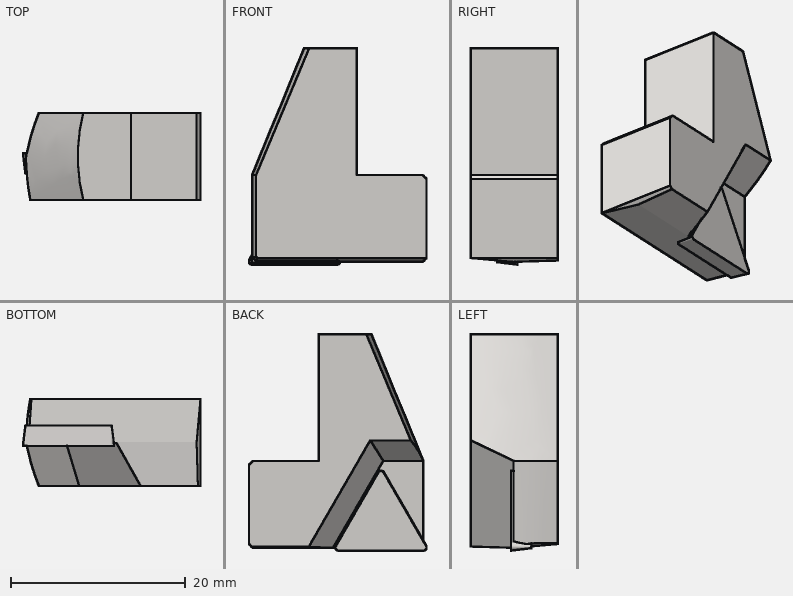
import cadquery as cq
import math

right_x = 20.35
depth = 10.0
height = 24.8
mid_y = depth / 2

shoulder_z = 10.3
lower_crest_x = 0.37
lower_side_x = 0.85
upper_crest_x = 6.3
upper_side_x = 6.92
step_x = 12.38
foot_chamfer = 0.47

front_bottom_z = 0.77
ridge_bottom_z = 0.32
back_bottom_z = 0.47

pocket_floor_y = 5.05
pocket_back_z = 12.65
wall_bottom_x = 10.9
wall_angle = 60.0

front_relief = 1.75
mid_relief = 0.97

triangle_angle = 60.0
insert_width = 10.47
nose_radius = 0.4
insert_thickness = 2.33
insert_face_y = 5.38
clearance_angle = 7.0


def nose_plan(z, crest_x, side_x):
    """Plan outline with a curved left side, closed by the step plane."""
    return (
        cq.Workplane("XY", origin=(0, 0, z))
        .moveTo(side_x, 0)
        .threePointArc((crest_x, mid_y), (side_x, depth))
        .lineTo(step_x, depth)
        .lineTo(step_x, 0)
        .close()
    )


def make_blank():
    lower = nose_plan(0, lower_crest_x, lower_side_x).extrude(shoulder_z)
    wires = [
        nose_plan(shoulder_z, lower_crest_x, lower_side_x).val(),
        nose_plan(height, upper_crest_x, upper_side_x).val(),
    ]
    upper = cq.Workplane(cq.Solid.makeLoft(wires, True))
    foot = (
        cq.Workplane("XY")
        .box(right_x - step_x, depth, shoulder_z - ridge_bottom_z, centered=False)
        .translate((step_x, 0, ridge_bottom_z))
        .edges("|Y and >X")
        .chamfer(foot_chamfer)
    )
    underside = (
        cq.Workplane("YZ")
        .polyline([
            (0, front_bottom_z), (mid_y, ridge_bottom_z), (depth, back_bottom_z),
            (depth, height), (0, height),
        ])
        .close()
        .extrude(right_x)
    )
    return lower.union(upper).union(foot).intersect(underside)


def pocket_section(y, bottom_x):
    """Pocket outline at one depth; its right wall runs parallel to the insert's right flank."""
    top_x = bottom_x - pocket_back_z / math.tan(math.radians(triangle_angle))
    corners = [(0, 0), (bottom_x, 0), (top_x, pocket_back_z), (0, pocket_back_z)]
    return cq.Wire.makePolygon([cq.Vector(x, y, z) for x, z in corners], close=True)


def make_chip_pocket():
    """Flat floor, sloping roof and a right wall that leans out toward the back."""
    wall_run = (depth - pocket_floor_y) / math.tan(math.radians(wall_angle))
    sections = [
        pocket_section(pocket_floor_y, wall_bottom_x),
        pocket_section(depth, wall_bottom_x + wall_run),
    ]
    roof = (
        cq.Workplane("YZ")
        .polyline([(pocket_floor_y, 0), (depth, 0), (depth, pocket_back_z), (pocket_floor_y, shoulder_z)])
        .close()
        .extrude(right_x)
    )
    return cq.Workplane(cq.Solid.makeLoft(sections, True)).intersect(roof)


def relief_section(y, leg):
    return cq.Wire.makePolygon([cq.Vector(0, y, 0), cq.Vector(leg, y, 0), cq.Vector(0, y, leg)], close=True)


def make_nose_relief():
    sections = [relief_section(0, front_relief), relief_section(mid_y, mid_relief)]
    return cq.Workplane(cq.Solid.makeLoft(sections, True))


def make_insert():
    """Equilateral triangle with rounded corners, tapering toward -Y."""
    center_side = insert_width - 2 * nose_radius
    sharp_offset = nose_radius * math.sqrt(3)
    left = nose_radius - sharp_offset
    right = insert_width - left
    apex_z = (center_side + 2 * sharp_offset) * math.sqrt(3) / 2
    outline = cq.Sketch().polygon(
        [(left, 0), (right, 0), (insert_width / 2, apex_z), (left, 0)]
    ).vertices().fillet(nose_radius)
    return (
        cq.Workplane("XZ", origin=(0, insert_face_y, 0))
        .placeSketch(outline)
        .extrude(insert_thickness, taper=clearance_angle)
    )


insert = make_insert()
holder = make_blank().cut(make_chip_pocket()).cut(make_nose_relief()).cut(insert)

result = cq.Compound.makeCompound([holder.solids().val(), insert.val()])